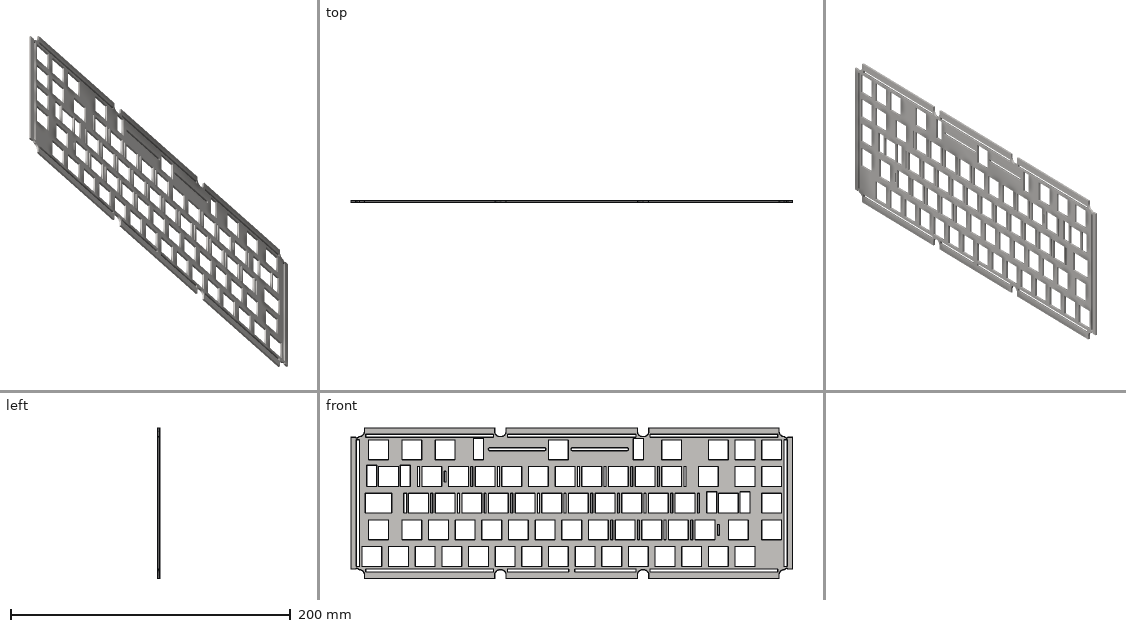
import cadquery as cq
import math

THICKNESS = 1.5
PLATE_WIDTH = 315.75
PLATE_HEIGHT = 107.7
HALF_WIDTH = PLATE_WIDTH / 2
HALF_HEIGHT = PLATE_HEIGHT / 2

UNIT = 19.05
SWITCH_SIZE = 14.0

STAB_WIDTH = 7.0
STAB_BELOW = 7.0
STAB_ABOVE = 8.0
STAB_OFFSET_2U = 11.9
STAB_OFFSET_7U = 3 * UNIT

FLEX_SLOT_WIDTH = 1.2
FLEX_SLOT_LENGTH = SWITCH_SIZE
SHORT_FLEX_SLOT_LENGTH = 7.5
WIDE_FLEX_SLOT_WIDTH = 2.0

TAB_DEPTH = 4.7
SIDE_TAB_DEPTH = 4.0
RELIEF_WIDTH = 2.0
RELIEF_END_GAP = 1.1
SIDE_RELIEF_HALF_LENGTH = 45.2
CENTRE_BRIDGE = 4.6

NOTCH_OFFSET = 51.0
NOTCH_WIDTH = 8.0
NOTCH_RADIUS = 3.6
NOTCH_DEPTH = 6.2
TAB_END_X = 148.2
SIDE_TAB_END_Z = 47.2
CORNER_VALLEY = (153.6, 46.4)
VALLEY_WIDTH = 1.0

BAR_SLOT_LENGTH = 41.0
BAR_SLOT_WIDTH = 2.0
BAR_SLOT_OFFSET = 29.5
BAR_SLOT_Z = 38.6

SPACE_X = -0.5
LEFT_SHIFT_X = -6.875
ENTER_X = 5.875
CAPS_LOCK_X = -7.125
CAPS_LOCK_STEP = 0.25


def run(first, count):
    """Key positions one unit apart."""
    return [first + i for i in range(count)]


KEY_ROWS = {
    2: [-7.25, -6, -4.75, SPACE_X, 3.75] + run(5.5, 3),
    1: [LEFT_SHIFT_X] + run(-5.25, 10) + [5.125] + run(6.5, 2),
    0: [CAPS_LOCK_X - CAPS_LOCK_STEP, CAPS_LOCK_X] + run(-5.75, 11) + [ENTER_X, 7.5],
    -1: [-7.25] + run(-6, 12) + [6.25, 7.5],
    -2: run(-7.5, 15),
}

FLEX_SLOT_ROWS = {
    1: [-5.75] + run(-3.75, 2) + run(0.25, 5),
    0: run(-5.25, 11),
    -1: run(1.5, 4),
}
SHORT_FLEX_SLOTS = [(-4.75, 1), (5.5, -1)]
WIDE_FLEX_SLOT = (-6.25, 0)


def slab(x_min, x_max, z_min, z_max):
    """Rectangular block through the full thickness, centred on Y = 0."""
    return cq.Workplane("XY").box(x_max - x_min, THICKNESS, z_max - z_min).translate(
        ((x_min + x_max) / 2, 0, (z_min + z_max) / 2)
    )


def centred_slab(x, z, width, height):
    return slab(x - width / 2, x + width / 2, z - height / 2, z + height / 2)


def mirrored_in_z(shape):
    return shape.mirror("XY")


def mirrored_in_x(shape):
    return shape.mirror("YZ")


def notch(x):
    """Round-bottomed gap between two of the top tabs."""
    bottom = HALF_HEIGHT - NOTCH_DEPTH
    block = slab(x - NOTCH_WIDTH / 2, x + NOTCH_WIDTH / 2, bottom, HALF_HEIGHT)
    return block.faces("<Z").edges("|Y").fillet(NOTCH_RADIUS)


def corner_cut():
    """Waste at the top right corner, between the top tab and the side tab."""
    arc_end_z = HALF_HEIGHT - NOTCH_DEPTH
    arc_x = TAB_END_X + NOTCH_RADIUS
    arc_z = arc_end_z + NOTCH_RADIUS
    arc_middle = NOTCH_RADIUS * math.sqrt(0.5)
    valley_x, valley_z = CORNER_VALLEY
    return (
        cq.Workplane("XZ")
        .moveTo(TAB_END_X, HALF_HEIGHT)
        .lineTo(TAB_END_X, arc_z)
        .threePointArc((arc_x - arc_middle, arc_z - arc_middle), (arc_x, arc_end_z))
        .lineTo(valley_x, valley_z)
        .lineTo(valley_x + VALLEY_WIDTH, SIDE_TAB_END_Z)
        .lineTo(HALF_WIDTH, SIDE_TAB_END_Z)
        .lineTo(HALF_WIDTH, HALF_HEIGHT)
        .close()
        .extrude(THICKNESS / 2, both=True)
    )


def plate_outline():
    plate = slab(-HALF_WIDTH, HALF_WIDTH, -HALF_HEIGHT, HALF_HEIGHT)
    right_corner = corner_cut()
    for cut in (right_corner, mirrored_in_x(right_corner), notch(NOTCH_OFFSET), notch(-NOTCH_OFFSET)):
        plate = plate.cut(cut).cut(mirrored_in_z(cut))
    return plate


def relief_slots():
    """Long slots that separate the rim tabs from the plate."""
    top = HALF_HEIGHT - TAB_DEPTH
    bottom = top - RELIEF_WIDTH
    middle_end = NOTCH_OFFSET - NOTCH_WIDTH / 2 - RELIEF_END_GAP
    outer_start = NOTCH_OFFSET + NOTCH_WIDTH / 2 + RELIEF_END_GAP
    outer_end = TAB_END_X - RELIEF_END_GAP

    slots = [slab(-middle_end, middle_end, bottom, top)]
    lower_middle = slab(CENTRE_BRIDGE / 2, middle_end, -top, -bottom)
    slots += [lower_middle, mirrored_in_x(lower_middle)]

    outer = slab(outer_start, outer_end, bottom, top)
    for slot in (outer, mirrored_in_x(outer)):
        slots += [slot, mirrored_in_z(slot)]

    side_outer = HALF_WIDTH - SIDE_TAB_DEPTH
    side = slab(side_outer - RELIEF_WIDTH, side_outer, -SIDE_RELIEF_HALF_LENGTH, SIDE_RELIEF_HALF_LENGTH)
    return slots + [side, mirrored_in_x(side)]


def switch_openings():
    return [
        centred_slab(x * UNIT, row * UNIT, SWITCH_SIZE, SWITCH_SIZE)
        for row, columns in KEY_ROWS.items()
        for x in columns
    ]


def stabiliser_openings():
    openings = []
    for key_x, row, offset in (
        (SPACE_X, 2, STAB_OFFSET_7U),
        (LEFT_SHIFT_X, 1, STAB_OFFSET_2U),
        (ENTER_X, 0, STAB_OFFSET_2U),
    ):
        z = row * UNIT
        for x in (key_x * UNIT - offset, key_x * UNIT + offset):
            openings.append(slab(x - STAB_WIDTH / 2, x + STAB_WIDTH / 2, z - STAB_BELOW, z + STAB_ABOVE))
    return openings


def flex_slots():
    slots = [
        centred_slab(x * UNIT, row * UNIT, FLEX_SLOT_WIDTH, FLEX_SLOT_LENGTH)
        for row, columns in FLEX_SLOT_ROWS.items()
        for x in columns
    ]
    for x, row in SHORT_FLEX_SLOTS:
        slots.append(centred_slab(x * UNIT, row * UNIT, FLEX_SLOT_WIDTH, SHORT_FLEX_SLOT_LENGTH))
    x, row = WIDE_FLEX_SLOT
    slots.append(centred_slab(x * UNIT, row * UNIT, WIDE_FLEX_SLOT_WIDTH, FLEX_SLOT_LENGTH))
    return slots


def space_bar_slots():
    """Round-ended slots either side of the space bar switch."""
    slots = []
    for side in (-1, 1):
        x = SPACE_X * UNIT + side * BAR_SLOT_OFFSET
        slots.append(
            cq.Workplane("XZ")
            .center(x, BAR_SLOT_Z)
            .slot2D(BAR_SLOT_LENGTH, BAR_SLOT_WIDTH)
            .extrude(THICKNESS / 2, both=True)
        )
    return slots


openings = relief_slots() + switch_openings() + stabiliser_openings() + flex_slots() + space_bar_slots()
result = cq.Workplane(plate_outline().val().cut(*[opening.val() for opening in openings]))